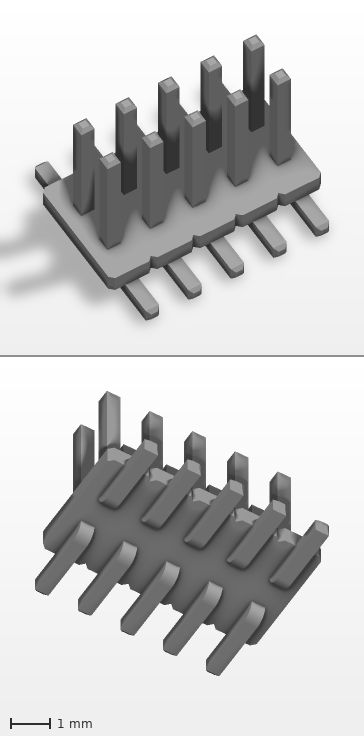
import cadquery as cq

pitch = 1.27
rows = 5
pin_width = 0.4
tip_chamfer = 0.1

foot_span = 5.57
total_height = 4.4

body_width = 3.4
body_height = 0.5
body_length = rows * pitch
corner_chamfer = pitch / 10

foot_bottom = -pin_width
post_top = foot_bottom + total_height
post_inner_x = (pitch - pin_width) / 2
post_outer_x = post_inner_x + pin_width
foot_tip_x = foot_span / 2
bend_radius = pin_width

row_positions = [(row - (rows - 1) / 2) * pitch for row in range(rows)]


def make_body():
    """Plate with chamfered corners and a V notch between neighbouring rows."""
    plate = (
        cq.Workplane("XY")
        .rect(body_width, body_length)
        .extrude(body_height)
        .edges("|Z")
        .chamfer(corner_chamfer)
    )
    for side in (-1, 1):
        edge_x = side * body_width / 2
        notch_x = edge_x - side * corner_chamfer
        for row_y in row_positions[:-1]:
            notch_y = row_y + pitch / 2
            notch = (
                cq.Workplane("XY")
                .moveTo(edge_x, notch_y - corner_chamfer)
                .lineTo(notch_x, notch_y)
                .lineTo(edge_x, notch_y + corner_chamfer)
                .close()
                .extrude(body_height)
            )
            plate = plate.cut(notch)
    return plate


def make_pin():
    """L-shaped pin with its foot toward +X, a rounded heel and chamfered tips."""
    return (
        cq.Workplane("XZ")
        .moveTo(post_inner_x, post_top)
        .lineTo(post_inner_x, 0)
        .radiusArc((post_inner_x + bend_radius, foot_bottom), -bend_radius)
        .lineTo(foot_tip_x, foot_bottom)
        .lineTo(foot_tip_x, 0)
        .lineTo(post_outer_x, 0)
        .lineTo(post_outer_x, post_top)
        .close()
        .extrude(pin_width / 2, both=True)
        .faces(">Z or >X")
        .chamfer(tip_chamfer)
    )


right_pin = make_pin()
left_pin = right_pin.mirror("YZ")

result = make_body()
for row_y in row_positions:
    for pin in (left_pin, right_pin):
        result = result.union(pin.translate((0, row_y, 0)))